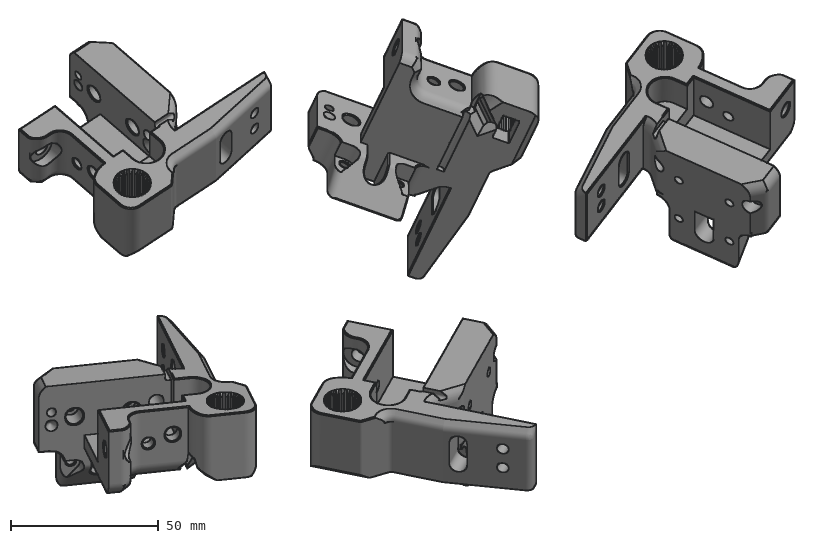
import cadquery as cq
import math


LENGTH_X = 69.0
LENGTH_Y = 79.6
HEIGHT = 25.0
TONGUE_DROP = 20.0
OVER = 0.8
TOUCH = 0.1
LIP = 0.4

RIM_CHAMFER = 2.5
RIM_RADIUS = 5.0
BLEND_RADIUS = 3.0
COS_45 = math.cos(math.radians(45))
TAN_HALF_45 = math.tan(math.radians(22.5))

PLATE_FRONT = 36.7
PLATE_BACK = 49.4
PLATE_CORNER = 4.4
PLATE_SLOPE_X = 40.75
WEB_BACK = 41.9

BRACKET_LEFT = 15.9
HOOK_RIGHT = 24.6
HOOK_FACET = 3.1
WALL_FRONT = 11.7
WALL_BACK = 16.3
SHELF_TOP = 5.0
BODY_LEFT = 46.0

BORE_X = 59.5
BORE_Y = 13.05
CHEEK_X = 58.1
CHEEK_Y = 12.25
CHEEK_RADIUS = 11.8
HOUSING_FRONT = 3.4
HOUSING_RADIUS = 5.0
SHOULDER_Y = 22.7
SHOULDER_RADIUS = 1.6
SHOULDER_BLEND = 2.5

ARM_LEFT = 50.9
ARM_RIGHT = 60.9
ARM_TIP_RIGHT = 55.95
ARM_TIP_RADIUS = 2.5
ARM_BEVEL_START = 39.1
ARM_RIM_END = 31.85

TONGUE_LEFT = 8.9
TONGUE_RIGHT = 36.05
TONGUE_FILLET = 5.0
TONGUE_CORNER = 2.0
SLOPE_TOP = -7.65
SLOT_WIDTH = 7.4
SLOT_BOTTOM = -13.5
SLOT_BEVEL = 0.5
PAD_FLOOR = 42.7
PAD_RADIUS = 3.35

BOLT_X = (12.5, 32.4)
BOLT_Z = 12.5
BOLT_DIAMETER = 3.2
SEAT_DIAMETER = 6.0
BOLT_SEAT_DEPTH = 7.2
PAD_Z = -7.4
DOWEL_X = (4.45, 40.9)
DOWEL_Z = 15.0
DOWEL_DIAMETERS = (3.2, 5.2)
DOWEL_SEAT_DEPTH = 4.8
DIMPLE_Z = 9.95
DIMPLE_DIAMETERS = (4.2, 6.0)


def box(x0, x1, y0, y1, z0, z1):
    return cq.Workplane("XY").box(x1 - x0, y1 - y0, z1 - z0, centered=False).translate((x0, y0, z0))


def hole_y(x, z, diameter, y0, y1):
    """Cylinder along Y from y0 to y1."""
    return cq.Workplane("XZ", origin=(x, y0, z)).circle(diameter / 2).extrude(y0 - y1)


def hole_x(y, z, diameter, x0, x1):
    """Cylinder along X from x0 to x1."""
    return cq.Workplane("YZ", origin=(x0, y, z)).circle(diameter / 2).extrude(x1 - x0)


def mouth_y(x, z, diameter, y):
    """Bevel for a hole entering at y and running toward +Y."""
    start = cq.Workplane("XZ", origin=(x, y, z)).circle(diameter / 2 + LIP)
    return start.workplane(offset=-LIP).circle(diameter / 2).loft()


def mouth_x(y, z, diameter, x):
    """Bevel for a hole entering at x and running toward +X."""
    start = cq.Workplane("YZ", origin=(x, y, z)).circle(diameter / 2 + LIP)
    return start.workplane(offset=LIP).circle(diameter / 2).loft()


def bevel_bar(plane, u, v, length):
    """Diamond bar that bevels a straight square edge by LIP."""
    return plane.center(u, v).polygon(4, 2 * LIP).extrude(length)


def near(x, y):
    """Selects the upright edge at a plan position."""
    return cq.selectors.BoxSelector((x - TOUCH, y - TOUCH, 0), (x + TOUCH, y + TOUCH, HEIGHT))


def rim_cutter(path, start, heading, z, side, radius=RIM_RADIUS):
    """Cutter that rounds a horizontal edge. The material lies left of the path;
    side is +1 for a top edge and -1 for a bottom edge."""
    tx = math.cos(math.radians(heading))
    ty = math.sin(math.radians(heading))
    plane = cq.Plane(origin=(start[0], start[1], z), xDir=(-ty, tx, 0), normal=(tx, ty, 0))
    inset = radius * (1 - COS_45)
    bend_depth = RIM_CHAMFER - inset
    end_depth = RIM_CHAMFER + radius * TAN_HALF_45
    middle = math.radians(22.5)
    arc_middle = (radius * (1 - math.cos(middle)), -side * (end_depth - radius * math.sin(middle)))
    section = (
        cq.Workplane(plane)
        .moveTo(-OVER, side * OVER)
        .lineTo(RIM_CHAMFER, side * OVER)
        .lineTo(RIM_CHAMFER, 0)
        .lineTo(inset, -side * bend_depth)
        .threePointArc(arc_middle, (0, -side * end_depth))
        .lineTo(-OVER, -side * end_depth)
        .close()
    )
    return section.sweep(path)


def straight_rim(start, end, z, side, radius=RIM_RADIUS):
    """Rounds a straight edge, reaching a little past both ends."""
    dx = end[0] - start[0]
    dy = end[1] - start[1]
    extra = 4 * OVER / math.hypot(dx, dy)
    first = (start[0] - extra * dx, start[1] - extra * dy)
    last = (end[0] + extra * dx, end[1] + extra * dy)
    path = cq.Workplane("XY", origin=(0, 0, z)).moveTo(*first).lineTo(*last)
    return rim_cutter(path, first, math.degrees(math.atan2(dy, dx)), z, side, radius)


def cheek_point(angle):
    return (CHEEK_X - CHEEK_RADIUS * math.cos(angle), CHEEK_Y - CHEEK_RADIUS * math.sin(angle))


def bracket_and_housing():
    wall_angle = math.asin((CHEEK_Y - WALL_FRONT) / CHEEK_RADIUS)
    wall_end = cheek_point(wall_angle)
    arc_y = HOUSING_FRONT + HOUSING_RADIUS
    arc_x = CHEEK_X - math.sqrt((CHEEK_RADIUS - HOUSING_RADIUS) ** 2 - (CHEEK_Y - arc_y) ** 2)
    touch_angle = math.atan2(CHEEK_Y - arc_y, CHEEK_X - arc_x)
    late = (touch_angle + math.pi / 2) / 2
    arc_middle = (arc_x - HOUSING_RADIUS * math.cos(late), arc_y - HOUSING_RADIUS * math.sin(late))
    shoulder = (ARM_RIGHT, LENGTH_X + SHOULDER_Y - ARM_RIGHT)
    back = PLATE_FRONT + OVER

    body = (
        cq.Workplane("XY")
        .moveTo(BRACKET_LEFT, 0)
        .lineTo(HOOK_RIGHT - HOOK_FACET, 0)
        .lineTo(HOOK_RIGHT, HOOK_FACET)
        .lineTo(HOOK_RIGHT, WALL_FRONT)
        .lineTo(*wall_end)
        .threePointArc(cheek_point((touch_angle + wall_angle) / 2), cheek_point(touch_angle))
        .threePointArc(arc_middle, (arc_x, HOUSING_FRONT))
        .lineTo(LENGTH_X, HOUSING_FRONT)
        .lineTo(LENGTH_X, SHOULDER_Y)
        .lineTo(*shoulder)
        .lineTo(ARM_RIGHT, back)
        .lineTo(BRACKET_LEFT, back)
        .close()
        .extrude(HEIGHT)
    )
    body = body.edges(near(HOOK_RIGHT - HOOK_FACET, 0)).fillet(BLEND_RADIUS)
    body = body.edges(near(HOOK_RIGHT, HOOK_FACET)).fillet(RIM_RADIUS)
    body = body.edges(near(HOOK_RIGHT, WALL_FRONT)).fillet(RIM_RADIUS)
    body = body.edges(near(LENGTH_X, HOUSING_FRONT)).fillet(HOUSING_RADIUS)
    body = body.edges(near(LENGTH_X, SHOULDER_Y)).fillet(SHOULDER_RADIUS)
    body = body.edges(near(*shoulder)).fillet(SHOULDER_BLEND)

    body = body.cut(box(0, BODY_LEFT, WALL_BACK, PLATE_BACK, SHELF_TOP, HEIGHT + OVER))
    body = body.cut(root_pocket())
    in_front_of_plate = cq.selectors.BoxSelector((0, -OVER, 0), (LENGTH_X + OVER, PLATE_FRONT, HEIGHT + OVER))
    body = body.faces(">Z").edges(in_front_of_plate).chamfer(LIP)

    body = body.cut(straight_rim((BRACKET_LEFT, 0), (HOOK_RIGHT, 0), 0, -1))
    body = body.cut(straight_rim((HOOK_RIGHT - HOOK_FACET, 0), (HOOK_RIGHT, HOOK_FACET), 0, -1))
    wall_path = (
        cq.Workplane("XY")
        .moveTo(HOOK_RIGHT, 0)
        .lineTo(HOOK_RIGHT, WALL_FRONT - RIM_RADIUS)
        .radiusArc((HOOK_RIGHT + RIM_RADIUS, WALL_FRONT), RIM_RADIUS)
        .lineTo(*wall_end)
    )
    body = body.cut(rim_cutter(wall_path, (HOOK_RIGHT, 0), 90, 0, -1))

    foot = cq.Workplane("XZ").polyline([(LENGTH_X, RIM_CHAMFER), (LENGTH_X, 0), (LENGTH_X - RIM_CHAMFER, 0)])
    return body.cut(foot.close().extrude(-PLATE_FRONT))


def root_pocket():
    """Round-ended pocket in the arm root, open toward the shelf."""
    x, y = 51.2, 26.6
    radius = 6.0
    floor = HEIGHT - 12.5
    round_end = cq.Workplane("XY", origin=(x, y, floor)).circle(radius).extrude(HEIGHT)
    return round_end.union(box(BODY_LEFT - OVER, x, y - radius, y + radius, floor, HEIGHT + OVER))


def plate():
    web_x = PLATE_SLOPE_X + PLATE_BACK - WEB_BACK
    right = ARM_LEFT + OVER
    corner_y = PLATE_BACK - PLATE_CORNER
    body = (
        cq.Workplane("XY")
        .polyline([
            (0, PLATE_FRONT),
            (right, PLATE_FRONT),
            (right, WEB_BACK),
            (web_x, WEB_BACK),
            (PLATE_SLOPE_X, PLATE_BACK),
            (PLATE_CORNER, PLATE_BACK),
            (0, corner_y),
        ])
        .close()
        .extrude(HEIGHT)
    )
    body = body.edges(near(0, corner_y)).fillet(BLEND_RADIUS)
    body = body.edges(near(PLATE_SLOPE_X, PLATE_BACK)).fillet(RIM_RADIUS)
    body = body.edges(near(web_x, WEB_BACK)).fillet(RIM_RADIUS)

    body = body.cut(straight_rim((0, PLATE_BACK), (0, PLATE_FRONT), HEIGHT, 1))
    body = body.cut(straight_rim((PLATE_CORNER, PLATE_BACK), (0, corner_y), HEIGHT, 1))
    tangent = RIM_RADIUS * TAN_HALF_45
    past = 4 * OVER
    path = (
        cq.Workplane("XY", origin=(0, 0, HEIGHT))
        .moveTo(right, WEB_BACK)
        .lineTo(web_x + tangent, WEB_BACK)
        .radiusArc((web_x - tangent * COS_45, WEB_BACK + tangent * COS_45), RIM_RADIUS)
        .lineTo(PLATE_SLOPE_X - past, PLATE_BACK + past)
    )
    body = body.cut(rim_cutter(path, (right, WEB_BACK), 180, HEIGHT, 1))

    body = body.cut(bevel_bar(cq.Workplane("YZ"), PLATE_FRONT, 0, TONGUE_LEFT - TONGUE_FILLET))
    body = body.cut(bevel_bar(cq.Workplane("XZ"), 0, 0, -LENGTH_Y))

    body = body.union(tongue()).cut(tongue_slot())
    slot_x = sum(BOLT_X) / 2
    reach = SLOT_WIDTH / 2 + TOUCH
    slot_mouth = cq.selectors.BoxSelector(
        (slot_x - reach, PLATE_FRONT - TOUCH, SLOT_BOTTOM - OVER),
        (slot_x + reach, PLATE_FRONT + (PLATE_BACK - PLATE_FRONT) / 2, -TOUCH),
    )
    return body.edges(slot_mouth).chamfer(SLOT_BEVEL)


def tongue():
    thickness = PLATE_BACK - PLATE_FRONT
    overlap = 1.6
    body = (
        cq.Workplane("XZ", origin=(0, PLATE_FRONT, 0))
        .moveTo(TONGUE_LEFT - TONGUE_FILLET, overlap)
        .lineTo(TONGUE_LEFT - TONGUE_FILLET, 0)
        .radiusArc((TONGUE_LEFT, -TONGUE_FILLET), TONGUE_FILLET)
        .lineTo(TONGUE_LEFT, -TONGUE_DROP)
        .lineTo(TONGUE_RIGHT, -TONGUE_DROP)
        .lineTo(TONGUE_RIGHT, -TONGUE_FILLET)
        .radiusArc((TONGUE_RIGHT + TONGUE_FILLET, 0), TONGUE_FILLET)
        .lineTo(TONGUE_RIGHT + TONGUE_FILLET, overlap)
        .close()
        .extrude(-thickness)
    )
    body = body.edges("|Y and <Z").fillet(TONGUE_CORNER)
    front_sides = cq.selectors.BoxSelector(
        (0, PLATE_FRONT - TOUCH, -TONGUE_DROP + TONGUE_CORNER), (LENGTH_X, PLATE_FRONT + TOUCH, -TOUCH)
    )
    body = body.edges(front_sides).chamfer(LIP)

    slope = (
        cq.Workplane("YZ")
        .polyline([
            (PLATE_FRONT, SLOPE_TOP),
            (PLATE_FRONT + thickness, SLOPE_TOP - thickness),
            (PLATE_FRONT + thickness, SLOPE_TOP - 2 * thickness),
            (PLATE_FRONT, SLOPE_TOP - 2 * thickness),
        ])
        .close()
        .extrude(LENGTH_X)
    )
    body = body.cut(slope)
    bend = cq.selectors.BoxSelector(
        (0, PLATE_FRONT - TOUCH, SLOPE_TOP - TOUCH), (LENGTH_X, PLATE_FRONT + TOUCH, SLOPE_TOP + TOUCH)
    )
    body = body.edges(bend).edges("|X").fillet(BLEND_RADIUS)

    def slope_plane(x):
        return cq.Workplane(cq.Plane(origin=(x, PLATE_FRONT, SLOPE_TOP), xDir=(1, 0, 0), normal=(0, 1, -1)))

    rounding = (
        slope_plane(TONGUE_LEFT)
        .moveTo(BLEND_RADIUS, 0)
        .radiusArc((0, -BLEND_RADIUS), -BLEND_RADIUS)
        .lineTo(-OVER, -BLEND_RADIUS)
        .lineTo(-OVER, OVER)
        .lineTo(BLEND_RADIUS, OVER)
        .close()
        .extrude(2 * thickness)
    )
    return body.cut(rounding).cut(bevel_bar(slope_plane(TONGUE_RIGHT), 0, 0, 2 * thickness))


def tongue_slot():
    x = sum(BOLT_X) / 2
    centre = SLOT_BOTTOM + SLOT_WIDTH / 2
    front = PLATE_FRONT - OVER
    back = PLATE_BACK + OVER
    slot = box(x - SLOT_WIDTH / 2, x + SLOT_WIDTH / 2, front, back, centre, 0)
    return slot.union(hole_y(x, centre, SLOT_WIDTH, front, back))


def screw_pads():
    """Flat seats around the tongue screws, open to the sides and the slope."""
    pads = []
    front = PLATE_FRONT - OVER
    width = 9.55
    for x, outward in zip(BOLT_X, (-1, 1)):
        tangent = PAD_RADIUS * COS_45
        start = (x - outward * tangent, PAD_Z - tangent)
        side = start[0] + outward * width
        pad = (
            cq.Workplane("XZ", origin=(0, front, 0))
            .polyline([
                (x, PAD_Z + PAD_RADIUS),
                (x, PAD_Z),
                start,
                (side, start[1] - width),
                (side, PAD_Z + PAD_RADIUS),
            ])
            .close()
            .extrude(front - PAD_FLOOR)
        )
        pads.append(pad.union(hole_y(x, PAD_Z, 2 * PAD_RADIUS, front, PAD_FLOOR)))
    return pads


def arm():
    hidden_left = BODY_LEFT
    taper_start = (ARM_RIGHT, PLATE_BACK)
    taper_end = (ARM_TIP_RIGHT, LENGTH_Y)
    body = (
        cq.Workplane("XY")
        .polyline([
            (hidden_left, PLATE_FRONT),
            (ARM_RIGHT, PLATE_FRONT),
            taper_start,
            taper_end,
            (hidden_left, LENGTH_Y),
        ])
        .close()
        .extrude(HEIGHT)
    )
    body = body.cut(straight_rim(taper_start, taper_end, HEIGHT, 1, BLEND_RADIUS))
    tip = cq.selectors.BoxSelector(
        (ARM_LEFT + OVER, LENGTH_Y - TOUCH, OVER), (ARM_RIGHT, LENGTH_Y + TOUCH, HEIGHT - TOUCH)
    )
    body = body.edges(tip).fillet(ARM_TIP_RADIUS)
    body = body.cut(box(0, ARM_LEFT, 0, LENGTH_Y + OVER, -OVER, HEIGHT + OVER))
    for z in (0, HEIGHT):
        along = cq.Workplane("XZ", origin=(0, ARM_BEVEL_START, 0))
        body = body.cut(bevel_bar(along, ARM_LEFT, z, -LENGTH_Y))
    return body.cut(bevel_bar(cq.Workplane("XY"), ARM_LEFT, LENGTH_Y, HEIGHT))


def arm_side_rim():
    """Rounding of the arm's right top edge, curling out across the slope of the housing."""
    start = (LENGTH_X + OVER, ARM_RIM_END - BLEND_RADIUS)
    path = (
        cq.Workplane("XY", origin=(0, 0, HEIGHT))
        .moveTo(*start)
        .lineTo(ARM_RIGHT + BLEND_RADIUS, start[1])
        .radiusArc((ARM_RIGHT, ARM_RIM_END), BLEND_RADIUS)
        .lineTo(ARM_RIGHT, LENGTH_Y)
    )
    return rim_cutter(path, start, 180, HEIGHT, 1, BLEND_RADIUS)


def plate_holes():
    back = PLATE_BACK + OVER
    cuts = []
    for x in BOLT_X:
        cuts.append(hole_y(x, BOLT_Z, BOLT_DIAMETER, PLATE_FRONT, back))
        cuts.append(hole_y(x, BOLT_Z, SEAT_DIAMETER, PLATE_FRONT, PLATE_FRONT + BOLT_SEAT_DEPTH))
        cuts.append(mouth_y(x, BOLT_Z, SEAT_DIAMETER, PLATE_FRONT))
        cuts.append(hole_y(x, PAD_Z, BOLT_DIAMETER, PLATE_FRONT, back))
        cuts.append(mouth_y(x, PAD_Z, BOLT_DIAMETER, PAD_FLOOR))
    for x, through, dimple in zip(DOWEL_X, DOWEL_DIAMETERS, DIMPLE_DIAMETERS):
        cuts.append(hole_y(x, DOWEL_Z, through, PLATE_FRONT, back))
        rim_centre = cq.Vector(x, PLATE_FRONT, DIMPLE_Z)
        cuts.append(cq.Solid.makeCone(dimple / 2, 0, dimple / 2, rim_centre, cq.Vector(0, 1, 0)))
    cuts.append(hole_y(DOWEL_X[0], DOWEL_Z, SEAT_DIAMETER, PLATE_BACK - DOWEL_SEAT_DEPTH, back))
    return cuts


def wall_holes():
    """Access holes in the wall, in line with holes in the plate."""
    cuts = []
    for x, z, diameter in ((BOLT_X[1], BOLT_Z, 4.0), (DOWEL_X[1], DOWEL_Z, 5.2)):
        cuts.append(hole_y(x, z, diameter, WALL_FRONT - OVER, WALL_BACK + OVER))
        cuts.append(mouth_y(x, z, diameter, WALL_FRONT))
    return cuts


def hook_hole():
    """Cross hole in the hook with a large seat on its right side."""
    y, z, diameter = 5.8, 15.1, 5.2
    seat_y, seat_diameter, seat_x = 5.3, 10.0, 21.1
    seat_length = 8.75
    return [
        hole_x(y, z, diameter, BRACKET_LEFT - OVER, seat_x + OVER),
        mouth_x(y, z, diameter, BRACKET_LEFT),
        hole_x(seat_y, z, seat_diameter, seat_x, seat_x + seat_length),
    ]


def arm_holes():
    left = ARM_LEFT - OVER
    length = ARM_RIGHT + OVER - left
    y, diameter = 69.7, 4.0
    cuts = []
    for z in (8.7, 16.6):
        cuts.append(hole_x(y, z, diameter, left, left + length))
        cuts.append(mouth_x(y, z, diameter, ARM_LEFT))
    slot_y, slot_z, width, height = 54.6, 12.6, 6.0, 15.0
    slot = cq.Workplane("YZ", origin=(left, slot_y, slot_z)).slot2D(height, width, 90)
    cuts.append(slot.extrude(length))
    mouth = cq.Workplane("YZ", origin=(ARM_LEFT, slot_y, slot_z))
    cuts.append(mouth.slot2D(height + 2 * LIP, width + 2 * LIP, 90).extrude(LIP, taper=45))
    return cuts


def splined_bore():
    floor = 7.5
    bore_radius, mouth_radius = 5.2, 6.4
    teeth, groove_width, groove_radius = 20, 0.95, 6.2
    window_width, window_length, window_bevel = 6.1, 9.5, 0.3
    base = cq.Workplane("XY", origin=(BORE_X, BORE_Y, floor))
    bore = base.circle(bore_radius).extrude(HEIGHT)
    groove_start = bore_radius - OVER
    grooves = (
        base.polarArray((groove_start + groove_radius) / 2, 180 / teeth, 360, teeth)
        .rect(groove_radius - groove_start, groove_width)
        .extrude(HEIGHT)
    )
    step = mouth_radius - bore_radius
    mouth_base = cq.Vector(BORE_X, BORE_Y, HEIGHT - step)
    mouth = cq.Solid.makeCone(bore_radius, mouth_radius, step, mouth_base, cq.Vector(0, 0, 1))
    window = cq.Workplane("XY", origin=(BORE_X, BORE_Y, -OVER)).rect(window_width, window_length)
    window = window.extrude(floor + 2 * OVER).edges("|Z").chamfer(window_bevel)
    return [bore, grooves, mouth, window]


CHANNEL_LEFT = 43.9


def top_channel():
    """Groove over the plate beside the arm root."""
    depth, round_radius = 2.4, 0.9
    groove = box(CHANNEL_LEFT, BODY_LEFT, PLATE_FRONT, PLATE_BACK, HEIGHT - depth, HEIGHT + OVER)
    return groove.edges("|Y and <X and <Z").fillet(round_radius)


def under_channel():
    """Round-topped groove under the shelf."""
    radius = 1.3
    groove = box(CHANNEL_LEFT, CHANNEL_LEFT + 2 * radius, WALL_FRONT, PLATE_FRONT, -OVER, radius)
    return groove.union(hole_y(CHANNEL_LEFT + radius, radius, 2 * radius, WALL_FRONT, PLATE_FRONT))


def corner_notch():
    """Notch under the corner between wall and housing, narrowing toward the back."""
    front, back = 3.2, 13.1
    top, knee = 7.6, 4.2

    def profile(right):
        return [
            (42.2, -OVER),
            (42.2, 0),
            (45.85, knee),
            (46.3, top),
            (47.6, top - OVER),
            (48.15, knee),
            (right, 0),
            (right, -OVER),
        ]

    return (
        cq.Workplane("XZ", origin=(0, front, 0))
        .polyline(profile(54.45))
        .close()
        .workplane(offset=front - back)
        .polyline(profile(48.55))
        .close()
        .loft(ruled=True)
    )


def diagonal_channel():
    """Arched passage leading from the notch inward under the housing at 45 degrees."""
    entry = (43.0, 6.4)
    length = 15.1
    plane = cq.Plane(origin=(entry[0], entry[1], 0), xDir=(1, -1, 0), normal=(-1, -1, 0))
    return (
        cq.Workplane(plane)
        .polyline([
            (-3.1, -OVER),
            (-3.1, 0),
            (-0.8, 5.6),
            (0.6, 6.7),
            (1.9, 6.05),
            (3.8, 3.8),
            (4.45, 0),
            (4.45, -OVER),
        ])
        .close()
        .extrude(-length)
    )


result = bracket_and_housing().union(plate()).union(arm())
cutters = [arm_side_rim(), top_channel(), under_channel(), corner_notch(), diagonal_channel()]
cutters += plate_holes() + wall_holes() + hook_hole() + arm_holes() + screw_pads() + splined_bore()
for cutter in cutters:
    result = result.cut(cutter)